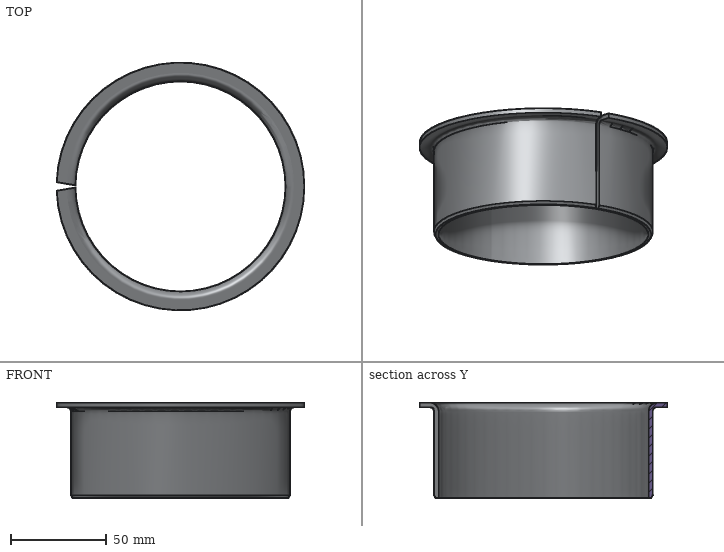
import cadquery as cq
import math

flange_diameter = 130.0
height = 50.0
bore_diameter = 110.0
wall = 2.5
underside_radius = 2.1
chamfer_height = 1.5
chamfer_width = 0.9
split_apex_radius = 52.0
split_outer_width = 4.4

flange_radius = flange_diameter / 2
bore_radius = bore_diameter / 2
sleeve_radius = bore_radius + wall
bend_center_radius = sleeve_radius + underside_radius
bend_center_z = height - wall - underside_radius
mouth_radius = underside_radius + wall
diagonal = math.sqrt(0.5)


def bend_midpoint(radius):
    """Middle of a quarter bend of the given radius, in the radial section."""
    return (bend_center_radius - radius * diagonal, bend_center_z + radius * diagonal)


def make_bush():
    """Revolve the bent wall section, chamfered at its lower outside edge."""
    return (
        cq.Workplane("XZ")
        .moveTo(bore_radius, 0)
        .lineTo(sleeve_radius - chamfer_width, 0)
        .lineTo(sleeve_radius, chamfer_height)
        .lineTo(sleeve_radius, bend_center_z)
        .threePointArc(bend_midpoint(underside_radius), (bend_center_radius, height - wall))
        .lineTo(flange_radius, height - wall)
        .lineTo(flange_radius, height)
        .lineTo(bend_center_radius, height)
        .threePointArc(bend_midpoint(mouth_radius), (bore_radius, bend_center_z))
        .close()
        .revolve(360, (0, 0, 0), (0, 1, 0))
    )


def make_split():
    """Full-height wedge on the -X side that widens outwards from an apex inside the bore."""
    return (
        cq.Workplane("XY")
        .moveTo(-split_apex_radius, 0)
        .lineTo(-flange_radius, -split_outer_width / 2)
        .lineTo(-flange_radius, split_outer_width / 2)
        .close()
        .extrude(height)
    )


result = make_bush().cut(make_split())